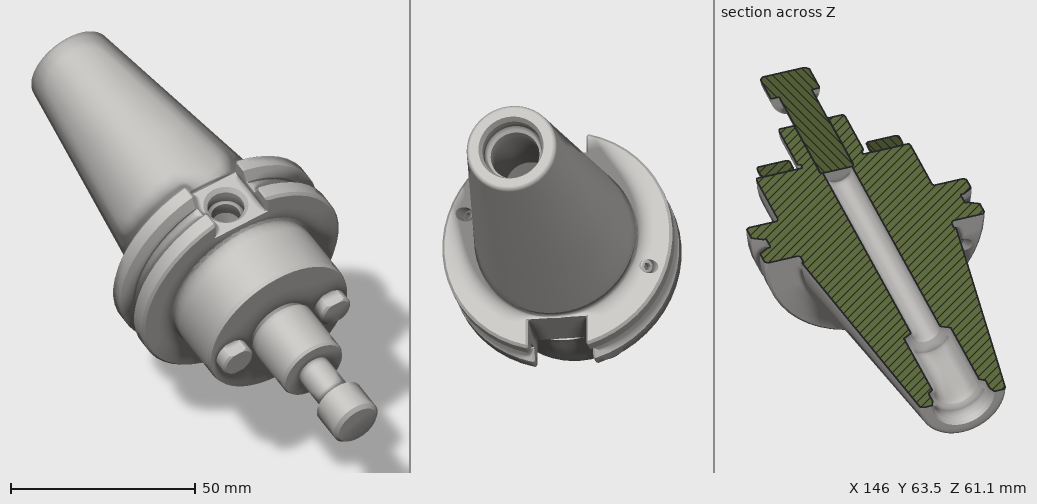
import cadquery as cq
import math


taper_length = 68.5
gauge_diameter = 44.5
taper_ratio = 7 / 24
tail_fillet = 1.2
neck_diameter = 43.5
neck_chamfer = 0.5
neck_fillet = 0.9

flange_start = 71.5
flange_width = 15.9
flange_diameter = 63.5
flange_chamfer = 0.7
groove_floor_diameter = 56.2
groove_floor_width = 3.5
groove_floor_start = 6.1
groove_step = 0.7
groove_angle = 30

slot_width = 16.0
upper_slot_height = 25.0
lower_slot_height = 22.5
slot_fillet = 0.36
slot_chamfer = 0.6
pocket_diameter = 10.0
pocket_chamfer_diameter = 12.3
pocket_depth = 4.8
pocket_bore_diameter = 7.9
pocket_bore_depth = 8.8
pocket_point_angle = 130

nose_end = 106.3
nose_diameter = 44.5
nose_chamfer_length = 1.2
nose_chamfer_depth = 0.3
nose_fillet = 0.7
relief_diameter = 17.5
relief_width = 1.6
relief_slope = 0.5
pilot_end = 123.8
pilot_diameter = 19.1
pilot_chamfer_length = 0.9
pilot_chamfer_depth = 0.5

mouth_diameter = 18.0
mouth_chamfer_length = 1.8
counterbore_diameter = 16.3
counterbore_depth = 5.1
counterbore_slope = 1.2
thread_diameter = 13.5
thread_end = 29.2
thread_point_angle = 118
coolant_bore_diameter = 8.3

screw_diameter = 9.5
screw_tip_diameter = 8.0
screw_tip = 102.2
screw_head_start = 136.3
screw_end = 146.0
screw_head_diameter = 14.2
screw_head_chamfer = 1.0

pin_offset = 15.8
pin_diameter = 9.5
pin_flat_width = 7.9
pin_height = 4.4
pin_chamfer = 0.6

coolant_radius = 27.0
coolant_azimuth = 20
coolant_tilt = 42
coolant_diameter = 4.0
set_screw_depth = 0.9
set_screw_length = 5.8
set_screw_chamfer = 0.3
socket_diameter = 2.2
socket_depth = 2.2

cutter_margin = 1.5
select_margin = 0.01

flange_end = flange_start + flange_width
tail_diameter = gauge_diameter - taper_ratio * taper_length
groove_start = flange_start + groove_floor_start
groove_end = groove_start + groove_floor_width
groove_slope_height = (flange_diameter - groove_floor_diameter) / 2 - groove_step
groove_wall = groove_slope_height * math.tan(math.radians(groove_angle))
relief_end = nose_end + relief_width


def drill_point(diameter, point_angle):
    """Length of a drill point that narrows from the given diameter to nothing."""
    return diameter / 2 / math.tan(math.radians(point_angle / 2))


def revolve_about_x(points):
    """Solid turned about the X axis from (x, radius) points that start and end on the axis."""
    return cq.Workplane("XY").polyline(points).close().revolve(360, (0, 0, 0), (1, 0, 0))


def turned_holder():
    """Holder as turned, with the groove only as deep as its sloping walls."""
    flange_r = flange_diameter / 2
    groove_r = groove_floor_diameter / 2 + groove_step
    nose_r = nose_diameter / 2
    pilot_r = pilot_diameter / 2
    neck_r = neck_diameter / 2
    gauge_r = gauge_diameter / 2
    profile = (
        cq.Workplane("XY")
        .moveTo(0, 0)
        .lineTo(0, tail_diameter / 2)
        .lineTo(taper_length, gauge_r)
        .lineTo(taper_length + neck_chamfer, neck_r)
        .lineTo(flange_start - neck_fillet, neck_r)
        .radiusArc((flange_start, neck_r + neck_fillet), -neck_fillet)
        .lineTo(flange_start, flange_r - flange_chamfer)
        .lineTo(flange_start + flange_chamfer, flange_r)
        .lineTo(groove_start - groove_wall, flange_r)
        .lineTo(groove_start, groove_r)
        .lineTo(groove_end, groove_r)
        .lineTo(groove_end + groove_wall, flange_r)
        .lineTo(flange_end - flange_chamfer, flange_r)
        .lineTo(flange_end, flange_r - flange_chamfer)
        .lineTo(flange_end, nose_r + nose_fillet)
        .radiusArc((flange_end + nose_fillet, nose_r), -nose_fillet)
        .lineTo(nose_end - nose_chamfer_length, nose_r)
        .lineTo(nose_end, nose_r - nose_chamfer_depth)
        .lineTo(nose_end, relief_diameter / 2)
        .lineTo(relief_end - relief_slope, relief_diameter / 2)
        .lineTo(relief_end, pilot_r)
        .lineTo(pilot_end - pilot_chamfer_length, pilot_r)
        .lineTo(pilot_end, pilot_r - pilot_chamfer_depth)
        .lineTo(pilot_end, 0)
        .close()
    )
    turned = profile.revolve(360, (0, 0, 0), (1, 0, 0))
    return turned.faces("<X").edges().fillet(tail_fillet)


def groove_floor_ring():
    """Cutter for the straight-sided floor of the groove, below the sloping walls."""
    floor_r = groove_floor_diameter / 2
    ring = cq.Workplane("YZ").circle(floor_r + groove_step).circle(floor_r)
    return ring.extrude(groove_floor_width).translate((groove_start, 0, 0))


def drawbar_bore():
    """Chamfered counterbore, thread bore with a drill point, and coolant bore up to the screw."""
    thread_r = thread_diameter / 2
    counterbore_r = counterbore_diameter / 2
    coolant_r = coolant_bore_diameter / 2
    point_length = drill_point(thread_diameter - coolant_bore_diameter, thread_point_angle)
    return revolve_about_x([
        (0, 0),
        (0, mouth_diameter / 2),
        (mouth_chamfer_length, counterbore_r),
        (counterbore_depth, counterbore_r),
        (counterbore_depth + counterbore_slope, thread_r),
        (thread_end, thread_r),
        (thread_end + point_length, coolant_r),
        (screw_tip, coolant_r),
        (screw_tip, 0),
    ])


def drive_slot(floor_height, side):
    """Cutter for one slot; side is +1 above the axis and -1 below it."""
    depth = flange_diameter / 2 - floor_height + cutter_margin
    middle = side * (floor_height + depth / 2)
    cutter = cq.Workplane("XY").box(flange_width, slot_width, depth)
    return cutter.translate((flange_start + flange_width / 2, 0, middle))


def slot_region(half_width, bottom, top):
    """Selector for what lies within the length of the flange and the given Y and Z limits."""
    return cq.selectors.BoxSelector((flange_start, -half_width, bottom), (flange_end, half_width, top))


def cut_drive_slots(blank):
    """Both slots cut, the rims of their walls chamfered and the feet of the walls filleted."""
    slotted = blank.cut(drive_slot(upper_slot_height, 1)).cut(drive_slot(lower_slot_height, -1))
    bottom = -lower_slot_height - select_margin
    top = upper_slot_height + select_margin
    reach = slot_width / 2 + select_margin

    wall_region = slot_region(reach, -flange_diameter, flange_diameter)
    walls = slotted.faces("#Z").faces("#X").faces(wall_region)
    rims = [edge for edge in walls.edges().vals() if not bottom < edge.Center().z < top]
    chamfered = slotted.newObject(rims).chamfer(slot_chamfer)

    feet = chamfered.edges("|X").edges(slot_region(reach, bottom, top))
    return feet.fillet(slot_fillet)


def slot_pocket():
    """Chamfered blind hole in the floor of the upper slot, with a narrower drilled bore below it."""
    chamfer = (pocket_chamfer_diameter - pocket_diameter) / 2
    return (
        cq.Workplane("XZ")
        .polyline([
            (0, 0),
            (pocket_chamfer_diameter / 2, 0),
            (pocket_diameter / 2, -chamfer),
            (pocket_diameter / 2, -pocket_depth),
            (pocket_bore_diameter / 2, -pocket_depth),
            (pocket_bore_diameter / 2, -pocket_bore_depth),
            (0, -pocket_bore_depth - drill_point(pocket_bore_diameter, pocket_point_angle)),
        ])
        .close()
        .revolve(360, (0, 0, 0), (0, 1, 0))
        .translate((flange_start + flange_width / 2, 0, upper_slot_height))
    )


def coolant_plane(azimuth):
    """Plane at a hole mouth on the flange face; its normal runs down the hole, towards the axis."""
    outward = cq.Vector(0, math.cos(math.radians(azimuth)), math.sin(math.radians(azimuth)))
    tilt = math.radians(coolant_tilt)
    direction = cq.Vector(math.cos(tilt), 0, 0) - outward * math.sin(tilt)
    across = cq.Vector(1, 0, 0).cross(outward)
    origin = outward * coolant_radius + cq.Vector(flange_start, 0, 0)
    return cq.Plane(origin=origin, xDir=across, normal=direction)


def coolant_hole(azimuth):
    """Cutter for one slanted hole, as deep as the foot of its set screw."""
    above = coolant_diameter
    length = above + set_screw_depth + set_screw_length
    return (
        cq.Workplane(coolant_plane(azimuth))
        .workplane(offset=-above)
        .circle(coolant_diameter / 2)
        .extrude(length)
    )


def set_screw(azimuth):
    """Headless screw with a hexagon socket, seated on the bottom of its hole."""
    top = cq.Workplane(coolant_plane(azimuth)).workplane(offset=set_screw_depth)
    blank = top.circle(coolant_diameter / 2).extrude(set_screw_length)
    body = blank.faces("%PLANE").chamfer(set_screw_chamfer)
    return body.cut(top.polygon(6, socket_diameter).extrude(socket_depth))


def clamping_screw():
    """Screw on the tool axis, with a chamfered tip inside the holder and a round head outside."""
    shank_r = screw_diameter / 2
    tip_r = screw_tip_diameter / 2
    head_r = screw_head_diameter / 2
    return revolve_about_x([
        (screw_tip, 0),
        (screw_tip, tip_r),
        (screw_tip + shank_r - tip_r, shank_r),
        (screw_head_start, shank_r),
        (screw_head_start, head_r),
        (screw_end - screw_head_chamfer, head_r),
        (screw_end, head_r - screw_head_chamfer),
        (screw_end, 0),
    ])


def drive_pin(side):
    """Round pin with two flats, standing on the nose face; side is the sign of its Y place."""
    pin = (
        cq.Workplane("YZ")
        .circle(pin_diameter / 2)
        .extrude(pin_height)
        .faces("<X or >X")
        .chamfer(pin_chamfer)
    )
    flats = cq.Workplane("YZ").rect(pin_diameter, pin_flat_width).extrude(pin_height)
    return pin.intersect(flats).translate((nose_end, side * pin_offset, 0))


coolant_azimuths = [coolant_azimuth, 180 + coolant_azimuth]

screw = clamping_screw()
holder = cut_drive_slots(turned_holder()).cut(groove_floor_ring())
holder = holder.cut(slot_pocket()).cut(drawbar_bore()).cut(screw)
for azimuth in coolant_azimuths:
    holder = holder.cut(coolant_hole(azimuth))

set_screws = [set_screw(azimuth) for azimuth in coolant_azimuths]
drive_pins = [drive_pin(side) for side in (1, -1)]

result = cq.Compound.makeCompound([
    holder.val(),
    screw.val(),
    *[body.val() for body in set_screws],
    *[body.val() for body in drive_pins],
])